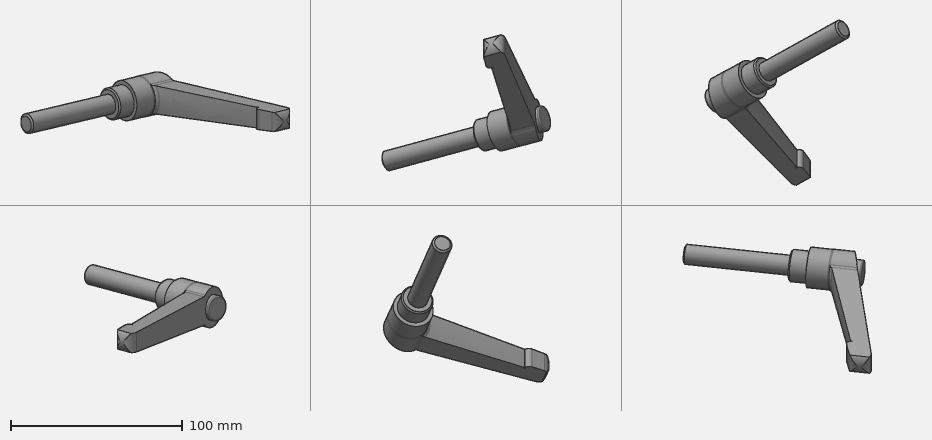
import cadquery as cq
import math


overall_length = 126.4

hub_radius = 12.1
skirt_radius = 12.0
skirt_top_y = 13.0
skirt_taper_length = 0.8
insert_diameter = 19.1
insert_length = 11.0
insert_chamfer = 0.9
screw_radius = 6.0
screw_chamfer_radial = 1.3
screw_chamfer_axial = 0.9
cap_radius = 7.6
cap_top_y = 32.0
cap_rounding = 0.9

top_angle = 16.0
under_angle = 20.0
top_axis_y = 27.7
tip_x = 92.0
upper_tip_round = 5.0
lower_tip_round = 6.1
axis_half_width = 9.0
side_draft = 2.0
nose_start_x = 89.5
crown_at_axis = 1.1
crown_at_notch = 0.05
crown_overhang = 1.2
arm_fillet = 2.5

notch_x = 76.1
notch_y = 38.2
stop_radius = 2.8
grip_axis_y = 7.5

top_slope = math.tan(math.radians(top_angle))
under_slope = math.tan(math.radians(under_angle))


def top_y(x):
    return top_axis_y + x * top_slope


def under_y(x):
    """Height of the deepest line of the arm's underside."""
    return notch_y - (notch_x - x) * under_slope


def half_width(x):
    return axis_half_width - x * math.tan(math.radians(side_draft))


def circle_point(center, radius, angle):
    """Point of a circle, at an angle counted counterclockwise from its lowest point."""
    a = math.radians(angle)
    return center[0] + radius * math.sin(a), center[1] - radius * math.cos(a)


def arc_to(center, radius, start_angle, end_angle):
    """Middle and end point of an arc."""
    middle_angle = (start_angle + end_angle) / 2
    return circle_point(center, radius, middle_angle), circle_point(center, radius, end_angle)


def rod(radius, start_y, end_y):
    return cq.Workplane("XZ", origin=(0, end_y, 0)).circle(radius).extrude(end_y - start_y)


def center_above_underside(x, radius):
    """Center of a circle that touches the grip underside from above."""
    return x, grip_axis_y + x * under_slope + radius / math.cos(math.radians(under_angle))


upper_center_x = tip_x - upper_tip_round
upper_center = (
    upper_center_x,
    top_y(upper_center_x) - upper_tip_round / math.cos(math.radians(top_angle)),
)
lever_top_y = upper_center[1] + upper_tip_round


def make_hub():
    hub = rod(hub_radius, 0, top_y(hub_radius))
    seam_turned_away = hub.rotate((0, 0, 0), (0, 1, 0), 180)
    reach = 2 * hub_radius
    above_slope = (
        cq.Workplane("XY")
        .polyline([(-reach, top_y(-reach)), (reach, top_y(reach)), (-reach, top_y(reach))])
        .close()
        .extrude(reach, both=True)
    )
    return seam_turned_away.cut(above_slope)


def make_skirt_relief():
    """Ring that slims the lower part of the hub, with a conical upper end."""
    outer_radius = hub_radius + arm_fillet
    taper_top_y = skirt_top_y + skirt_taper_length
    return (
        cq.Workplane("XY")
        .polyline([
            (-skirt_radius, 0),
            (-skirt_radius, skirt_top_y),
            (-hub_radius, taper_top_y),
            (-outer_radius, taper_top_y),
            (-outer_radius, 0),
        ])
        .close()
        .revolve(360, (0, 0, 0), (0, 1, 0))
    )


def make_grip():
    """Upper part of the arm along its whole length, with the finger stop and the rounded tip."""
    stop_center = center_above_underside(notch_x + stop_radius, stop_radius)
    lower_center = center_above_underside(tip_x - lower_tip_round, lower_tip_round)
    return (
        cq.Workplane("XY")
        .moveTo(0, top_y(0))
        .lineTo(0, (top_y(0) + under_y(0)) / 2)
        .lineTo(notch_x, (top_y(notch_x) + under_y(notch_x)) / 2)
        .lineTo(notch_x, stop_center[1])
        .threePointArc(*arc_to(stop_center, stop_radius, -90, under_angle))
        .lineTo(*circle_point(lower_center, lower_tip_round, under_angle))
        .threePointArc(*arc_to(lower_center, lower_tip_round, under_angle, 90))
        .lineTo(tip_x, upper_center[1])
        .threePointArc(*arc_to(upper_center, upper_tip_round, 90, 180 + top_angle))
        .close()
        .extrude(hub_radius, both=True)
    )


def make_plan():
    """Tapering outline of the arm in the XZ plane, ending in the curved nose."""
    nose_half_width = half_width(nose_start_x)
    return (
        cq.Workplane("XZ")
        .moveTo(0, -axis_half_width)
        .lineTo(nose_start_x, -nose_half_width)
        .threePointArc((tip_x, 0), (nose_start_x, nose_half_width))
        .lineTo(0, axis_half_width)
        .close()
        .extrude(-2 * lever_top_y)
    )


def crown_section(x, crown):
    """Section of the arm at x, overhanging its sides.

    The bulge of a shallow arc grows with the square of its width.
    """
    ridge_y = under_y(x)
    edge_y = ridge_y + crown * crown_overhang**2
    width = half_width(x) * crown_overhang
    upper_y = (top_y(x) + ridge_y) / 2
    return (
        cq.Workplane("YZ", origin=(x, 0, 0))
        .moveTo(upper_y, -width)
        .lineTo(edge_y, -width)
        .threePointArc((ridge_y, 0), (edge_y, width))
        .lineTo(upper_y, width)
        .close()
        .wire()
        .val()
    )


def make_crowned_underside():
    sections = [crown_section(0, crown_at_axis), crown_section(notch_x, crown_at_notch)]
    return cq.Workplane(cq.Solid.makeLoft(sections, True))


def make_cap():
    cap = rod(cap_radius, 0, cap_top_y)
    return cap.faces(">Y").edges().fillet(cap_rounding)


def make_insert():
    insert = rod(insert_diameter / 2, -insert_length, 0)
    return insert.faces("<Y").edges().chamfer(insert_chamfer)


def make_screw():
    screw = rod(screw_radius, lever_top_y - overall_length, 0)
    return screw.faces("<Y").edges().chamfer(screw_chamfer_axial, screw_chamfer_radial)


arm = make_grip().union(make_crowned_underside()).intersect(make_plan())
lever = make_hub().union(arm).clean()

joint_clearance = 1.3
joint_top_y = top_y(hub_radius) - joint_clearance
joint = cq.selectors.BoxSelector(
    (hub_radius / 2, joint_clearance, -hub_radius),
    (hub_radius + joint_clearance, joint_top_y, hub_radius),
)
lever = lever.edges(joint).fillet(arm_fillet).cut(make_skirt_relief())

result = lever.union(make_cap()).union(make_insert()).union(make_screw())